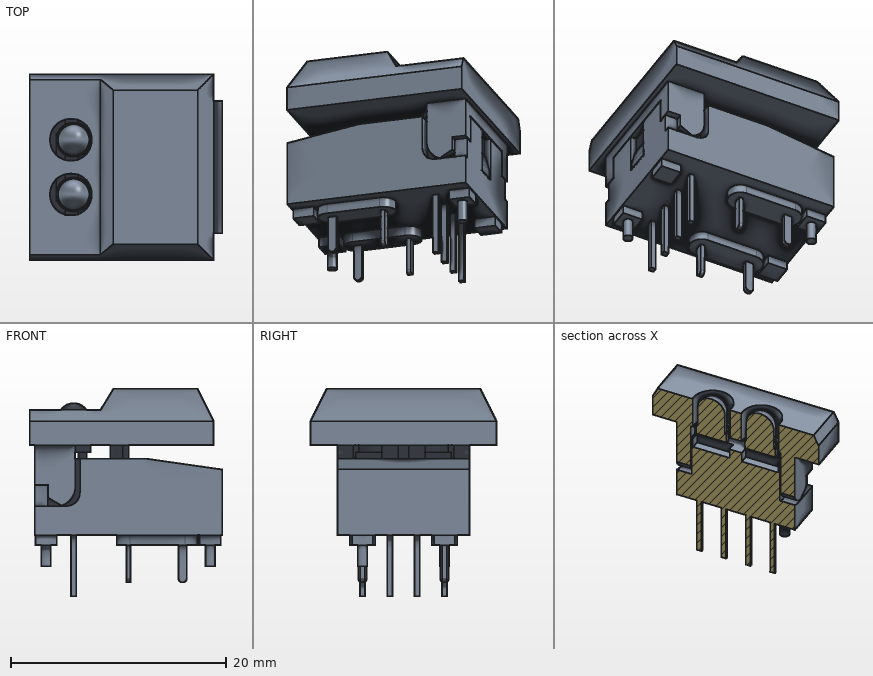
import cadquery as cq
import math


BODY_LENGTH = 17.45
BODY_WIDTH = 12.3
BODY_HEIGHT = 7.1
BODY_END_HEIGHT = 6.1
BODY_SLOPE_START = 10.45
HALF_BODY = BODY_WIDTH / 2

SLOT_LENGTH = 4.23
SLOT_FLOOR = 2.7
SLOT_CORNER_RADIUS = 1.3
TAB_DEPTH = 0.54
SHOULDER_HEIGHT = 4.64
LATCH_WALL_HALF_WIDTH = 4.61

WINDOW_WIDTH = 2.5
WINDOW_FLOOR = 3.04
WINDOW_DEPTH = 0.6
LATCH_TOP = 5.3
LATCH_BREAK = 3.93
LATCH_TOP_DEPTH = 0.45
LATCH_FACE_DEPTH = 0.1

CAP_START = -0.45
CAP_LENGTH = 17.1
CAP_END = CAP_START + CAP_LENGTH
CAP_WIDTH = 17.3
CAP_BOTTOM = 8.37
CAP_RIM_TOP = 10.6
CAP_LEDGE_TOP = 11.63
CAP_TOP = 13.6
CAP_TAPER = 1.5
RIDGE_FOOT = 6.13
RIDGE_CREST = 7.32

CLEARANCE = 0.06
EAR_LENGTH = 3.78
EAR_STEP = 1.29
EAR_NOSE_HEIGHT = 3.46
EAR_TIP_X = 2.5
EAR_TIP_Z = 2.74
EAR_RADIUS = 1.8
SKIRT_LENGTH = 2.86
SKIRT_RELIEF_START = 2.0
SKIRT_RELIEF_WIDTH = 6.32
STEM_START = 7.03
STEM_LENGTH = 1.19
STEM_WIDTH = 4.0
STEM_RIB_LENGTH = 0.55
STEM_RIB_WIDTH = 1.0

LED_X = 3.63
LED_PITCH = 5.08
LED_DIAMETER = 2.9
LED_FLANGE_DIAMETER = 3.2
LED_FLANGE_BOTTOM = 7.69
LED_FLANGE_HEIGHT = 1.0
LED_TOP = 12.26
LED_HOLE_X = 3.38
LED_HOLE_DIAMETER = 3.9
LED_POCKET_WIDTH = 3.77
LED_POCKET_DEPTH = 1.0
LED_SUPPORT_START = 4.08
LED_SUPPORT_LENGTH = 0.78
LEAD_PITCH = LED_PITCH / 2
INNER_LEAD_STEP = 0.5
OUTER_LEAD_STEP = 1.5
LEAD_SIZE = 0.5
LEAD_BOTTOM = -5.7

FOOT_HEIGHT = 0.92
FOOT_Y = OUTER_LEAD_STEP * LEAD_PITCH
END_FOOT_LENGTH = 2.0
END_FOOT_WIDTH = 1.9
FRONT_FOOT_X = 1.07
REAR_FOOT_X = 16.32
LONG_FOOT_START = 7.64
LONG_FOOT_LENGTH = 7.52
LONG_FOOT_WIDTH = 2.4
PEG_DIAMETER = 0.9
PEG_BOTTOM = -2.9
TERMINAL_WIDTH = 0.8
TERMINAL_THICKNESS = 0.4
TERMINAL_BOTTOM = -4.4
CROSS_TERMINAL_X = 8.73
FLAT_TERMINAL_X = 13.76

SIDES = (-1, 1)


def block(x_range, y_range, z_range):
    """Axis-aligned box between pairs of coordinates."""
    sizes = [high - low for low, high in (x_range, y_range, z_range)]
    corner = (x_range[0], y_range[0], z_range[0])
    return cq.Workplane("XY").box(*sizes, centered=False).translate(corner)


def centered_block(x_range, width, z_range):
    """Box that is symmetric about Y = 0."""
    return block(x_range, (-width / 2, width / 2), z_range)


def cylinder(x, y, diameter, bottom, top):
    return cq.Workplane("XY", origin=(x, y, bottom)).circle(diameter / 2).extrude(top - bottom)


def extrude_in_y(outline, start, end):
    """Extrude an XZ outline from Y = start to Y = end."""
    return outline.extrude(start - end).translate((0, start, 0))


def mirrored(solid):
    """The solid together with its mirror image across Y = 0."""
    return solid.union(solid.mirror("XZ"))


def make_latch_window():
    """Window cavity whose back carries a wedge-shaped latch."""
    outline = (
        cq.Workplane("XZ")
        .moveTo(0, WINDOW_FLOOR)
        .lineTo(LATCH_FACE_DEPTH, WINDOW_FLOOR)
        .lineTo(LATCH_FACE_DEPTH, LATCH_BREAK)
        .lineTo(LATCH_TOP_DEPTH, LATCH_TOP)
        .lineTo(WINDOW_DEPTH, LATCH_TOP)
        .lineTo(WINDOW_DEPTH, BODY_HEIGHT)
        .lineTo(0, BODY_HEIGHT)
        .close()
    )
    return extrude_in_y(outline, -WINDOW_WIDTH / 2, WINDOW_WIDTH / 2)


def make_side_slot():
    """Round-cornered guide slot in the -Y wall, with a tab left standing at its open end."""
    corner_x = SLOT_LENGTH - SLOT_CORNER_RADIUS
    corner_z = SLOT_FLOOR + SLOT_CORNER_RADIUS
    outline = (
        cq.Workplane("XZ")
        .moveTo(0, SLOT_FLOOR)
        .lineTo(corner_x, SLOT_FLOOR)
        .radiusArc((SLOT_LENGTH, corner_z), -SLOT_CORNER_RADIUS)
        .lineTo(SLOT_LENGTH, BODY_HEIGHT)
        .lineTo(0, BODY_HEIGHT)
        .close()
    )
    slot = extrude_in_y(outline, -HALF_BODY, -LATCH_WALL_HALF_WIDTH)
    tab = block(
        (0, EAR_STEP - CLEARANCE),
        (TAB_DEPTH - HALF_BODY, -LATCH_WALL_HALF_WIDTH),
        (SLOT_FLOOR, SHOULDER_HEIGHT),
    )
    return slot.cut(tab)


def make_housing():
    outline = cq.Workplane("XZ").polyline(
        [
            (0, 0),
            (BODY_LENGTH, 0),
            (BODY_LENGTH, BODY_END_HEIGHT),
            (BODY_SLOPE_START, BODY_HEIGHT),
            (0, BODY_HEIGHT),
        ]
    ).close()
    housing = extrude_in_y(outline, -HALF_BODY, HALF_BODY)
    housing = housing.cut(mirrored(make_side_slot())).cut(make_latch_window())
    for side in SIDES:
        center_y = side * LED_PITCH / 2
        pocket = block(
            (SKIRT_LENGTH, LED_SUPPORT_START),
            (center_y - LED_POCKET_WIDTH / 2, center_y + LED_POCKET_WIDTH / 2),
            (BODY_HEIGHT - LED_POCKET_DEPTH, BODY_HEIGHT),
        )
        housing = housing.cut(pocket)
    return housing


def make_cap():
    """Stepped keycap, tapered on three sides, with a hole over each LED."""
    side_outline = cq.Workplane("XZ").polyline(
        [
            (CAP_START, CAP_BOTTOM),
            (CAP_END, CAP_BOTTOM),
            (CAP_END, CAP_RIM_TOP),
            (CAP_END - CAP_TAPER, CAP_TOP),
            (RIDGE_CREST, CAP_TOP),
            (RIDGE_FOOT, CAP_LEDGE_TOP),
            (CAP_START, CAP_LEDGE_TOP),
        ]
    ).close()
    half_width = CAP_WIDTH / 2
    end_outline = cq.Workplane("YZ", origin=(CAP_START, 0, 0)).polyline(
        [
            (-half_width, CAP_BOTTOM),
            (half_width, CAP_BOTTOM),
            (half_width, CAP_RIM_TOP),
            (half_width - CAP_TAPER, CAP_TOP),
            (CAP_TAPER - half_width, CAP_TOP),
            (-half_width, CAP_RIM_TOP),
        ]
    ).close()
    cap = extrude_in_y(side_outline, -half_width, half_width)
    cap = cap.intersect(end_outline.extrude(CAP_LENGTH))
    for side in SIDES:
        hole = cylinder(LED_HOLE_X, side * LED_PITCH / 2, LED_HOLE_DIAMETER, CAP_BOTTOM, CAP_LEDGE_TOP)
        cap = cap.cut(hole)
    return cap


def make_ear():
    """Plunger ear on the -Y side, stepped over the tab and rounded at its lower end."""
    step_z = SHOULDER_HEIGHT + CLEARANCE
    arc_center_x = EAR_LENGTH - EAR_RADIUS
    arc_top_z = EAR_TIP_Z + math.sqrt(EAR_RADIUS**2 - (EAR_TIP_X - arc_center_x) ** 2)
    outline = (
        cq.Workplane("XZ")
        .moveTo(0, step_z)
        .lineTo(EAR_STEP, step_z)
        .lineTo(EAR_STEP, EAR_NOSE_HEIGHT)
        .lineTo(EAR_TIP_X, EAR_TIP_Z)
        .radiusArc((EAR_LENGTH, arc_top_z), -EAR_RADIUS)
        .lineTo(EAR_LENGTH, CAP_BOTTOM)
        .lineTo(0, CAP_BOTTOM)
        .close()
    )
    return extrude_in_y(outline, -HALF_BODY, -LATCH_WALL_HALF_WIDTH - CLEARANCE)


def make_plunger():
    """Skirt over the latch wall, two ears and the central stem."""
    gap = (BODY_HEIGHT, CAP_BOTTOM)
    skirt_heights = (BODY_HEIGHT + CLEARANCE, CAP_BOTTOM)
    skirt = centered_block((0, SKIRT_LENGTH), BODY_WIDTH, skirt_heights)
    relief = centered_block((SKIRT_RELIEF_START, SKIRT_LENGTH), SKIRT_RELIEF_WIDTH, gap)
    stem_end = STEM_START + STEM_LENGTH
    stem = centered_block((STEM_START, stem_end), STEM_WIDTH, gap)
    rib = centered_block((stem_end, stem_end + STEM_RIB_LENGTH), STEM_RIB_WIDTH, gap)
    return skirt.cut(relief).union(mirrored(make_ear())).union(stem).union(rib)


def make_led(y):
    """Domed LED with a flange."""
    radius = LED_DIAMETER / 2
    dome_z = LED_TOP - radius
    flange_top = LED_FLANGE_BOTTOM + LED_FLANGE_HEIGHT
    flange = cylinder(LED_X, y, LED_FLANGE_DIAMETER, LED_FLANGE_BOTTOM, flange_top)
    barrel = cylinder(LED_X, y, LED_DIAMETER, LED_FLANGE_BOTTOM, dome_z)
    dome = cq.Workplane("XY").sphere(radius).translate((LED_X, y, dome_z))
    return flange.union(barrel).union(dome)


def make_leds():
    """Both LEDs, the support rail below them and their four leads."""
    leds = centered_block(
        (LED_SUPPORT_START, LED_SUPPORT_START + LED_SUPPORT_LENGTH),
        LED_PITCH + LED_POCKET_WIDTH,
        (BODY_HEIGHT, LED_FLANGE_BOTTOM),
    )
    for side in SIDES:
        leds = leds.union(make_led(side * LED_PITCH / 2))
        for step in (INNER_LEAD_STEP, OUTER_LEAD_STEP):
            lead = cq.Workplane("XY").center(LED_X, side * step * LEAD_PITCH).rect(LEAD_SIZE, LEAD_SIZE)
            leds = leds.union(lead.extrude(LEAD_BOTTOM))
    return leds


def make_feet():
    """Two end feet and one long rounded foot along each side."""
    end_feet = (
        cq.Workplane("XY")
        .pushPoints([(x, FOOT_Y) for x in (FRONT_FOOT_X, REAR_FOOT_X)])
        .rect(END_FOOT_LENGTH, END_FOOT_WIDTH)
        .extrude(-FOOT_HEIGHT)
    )
    long_foot = (
        cq.Workplane("XY")
        .center(LONG_FOOT_START + LONG_FOOT_LENGTH / 2, FOOT_Y)
        .slot2D(LONG_FOOT_LENGTH, LONG_FOOT_WIDTH)
        .extrude(-FOOT_HEIGHT)
    )
    return mirrored(end_feet.union(long_foot))


def make_pegs():
    """Locating pegs on two diagonally opposite end feet."""
    front = cylinder(FRONT_FOOT_X, FOOT_Y, PEG_DIAMETER, PEG_BOTTOM, 0)
    rear = cylinder(REAR_FOOT_X, -FOOT_Y, PEG_DIAMETER, PEG_BOTTOM, 0)
    return front.union(rear)


def make_terminal():
    """Flat round-ended terminal in the XZ plane, centered on the Z axis."""
    radius = TERMINAL_WIDTH / 2
    outline = (
        cq.Workplane("XZ")
        .moveTo(-radius, 0)
        .lineTo(-radius, TERMINAL_BOTTOM + radius)
        .threePointArc((0, TERMINAL_BOTTOM), (radius, TERMINAL_BOTTOM + radius))
        .lineTo(radius, 0)
        .close()
    )
    return extrude_in_y(outline, -TERMINAL_THICKNESS / 2, TERMINAL_THICKNESS / 2)


def make_terminals():
    """One terminal along X and one turned across it on each side."""
    flat = make_terminal().translate((FLAT_TERMINAL_X, FOOT_Y, 0))
    across = make_terminal().rotate((0, 0, 0), (0, 0, 1), 90)
    return mirrored(flat.union(across.translate((CROSS_TERMINAL_X, FOOT_Y, 0))))


result = (
    make_housing()
    .union(make_plunger())
    .union(make_cap())
    .union(make_leds())
    .union(make_feet())
    .union(make_pegs())
    .union(make_terminals())
)